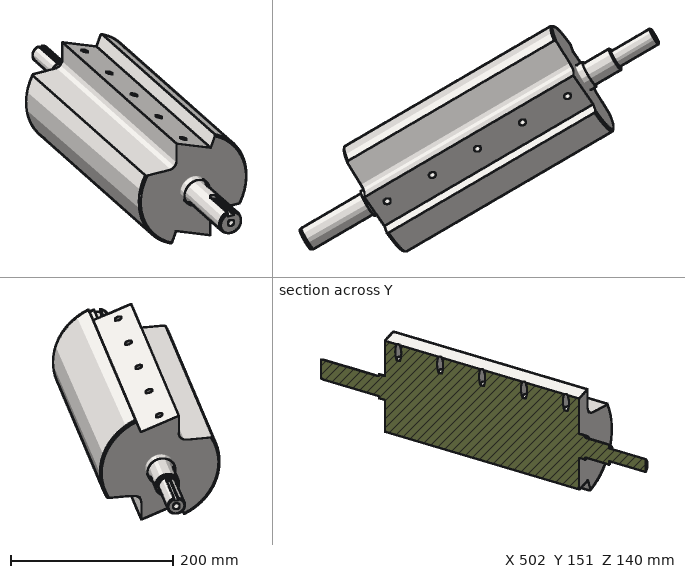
import cadquery as cq
import math

total_length = 502.0
body_start = 103.0
body_length = 300.5
body_end = body_start + body_length

body_radius = 75.5
blade_tip_y = -23.5
body_height = 140.0
blade_tip_z = body_height / 2
seat_root_y = 24.0
seat_root_z = 52.0
back_lip_y = 30.5
shelf_z = 35.5
gullet_radius = 10.0
rim_chamfer = 2.0
cutter_margin = 5.0

collar_diameter = 35.0
stub_collar_length = 9.0
drive_collar_length = 9.5
journal_diameter = 30.0
stub_diameter = 22.0
stub_length = 56.0
root_fillet = 1.0
edge_chamfer = 1.0
drive_chamfer_length = 3.0

stub_key_length = 51.5
stub_key_width = 5.0
stub_key_depth = 3.0
drive_key_length = 50.5
drive_key_width = 8.0
drive_key_depth = 5.0

hole_diameter = 8.5
hole_depth = 20.0
hole_count = 5
hole_pitch = 65.0
hole_y = -3.0
centre_diameter = 8.5
centre_angle = 60.0


def rim_z(y):
    """Height of the cylindrical rim at a given Y."""
    return math.sqrt(body_radius**2 - y**2)


def half_turn(shape):
    """The same shape turned half a revolution about the shaft axis."""
    return shape.rotate((0, 0, 0), (1, 0, 0), 180)


def rotor_body():
    """Rim cylinder with chamfered ends, less the two chip gullets and blade seats."""
    body = cq.Workplane("YZ", origin=(body_start, 0, 0)).circle(body_radius).extrude(body_length)
    body = body.faces("<X or >X").chamfer(rim_chamfer)

    clear = body_radius + cutter_margin
    cutter = (
        cq.Workplane("YZ", origin=(body_start, 0, 0))
        .moveTo(seat_root_y, seat_root_z)
        .lineTo(blade_tip_y, blade_tip_z)
        .lineTo(blade_tip_y, shelf_z + gullet_radius)
        .radiusArc((blade_tip_y - gullet_radius, shelf_z), gullet_radius)
        .lineTo(-clear, shelf_z)
        .lineTo(-clear, clear)
        .lineTo(back_lip_y, clear)
        .lineTo(back_lip_y, rim_z(back_lip_y))
        .close()
        .extrude(body_length)
    )
    return body.cut(cutter).cut(half_turn(cutter))


def cylinder(start, end, diameter):
    return cq.Workplane("YZ", origin=(start, 0, 0)).circle(diameter / 2).extrude(end - start)


def root_flare(face_x, direction, diameter):
    """Concave fillet ring where a cylinder meets a flat face; direction points along the cylinder."""
    radius = diameter / 2
    bend = root_fillet * (1 - math.sqrt(0.5))
    return (
        cq.Workplane("XY")
        .moveTo(face_x, 0)
        .lineTo(face_x, radius + root_fillet)
        .threePointArc(
            (face_x + direction * bend, radius + bend),
            (face_x + direction * root_fillet, radius),
        )
        .lineTo(face_x + direction * root_fillet, 0)
        .close()
        .revolve(360, (0, 0, 0), (1, 0, 0))
    )


def shaft():
    """Stepped shaft: stub, journal, collar, core, collar and drive end."""
    collar_start = body_start - stub_collar_length
    collar_end = body_end + drive_collar_length
    stub = cylinder(0, stub_length, stub_diameter).faces("<X").chamfer(edge_chamfer)
    journal = cylinder(stub_length, body_start, journal_diameter).faces("<X").chamfer(edge_chamfer)
    collars = cylinder(collar_start, collar_end, collar_diameter)
    drive = cylinder(body_end, total_length, journal_diameter)
    drive = drive.faces(">X").chamfer(drive_chamfer_length, edge_chamfer)
    stepped = stub.union(journal).union(collars).union(drive)
    for face_x, direction, diameter in (
        (body_start, -1, collar_diameter),
        (body_end, 1, collar_diameter),
        (collar_start, -1, journal_diameter),
        (collar_end, 1, journal_diameter),
    ):
        stepped = stepped.union(root_flare(face_x, direction, diameter))
    return stepped


def keyway(start, length, width, depth, diameter):
    """Square-ended slot sunk from the top of a shaft section."""
    floor_z = diameter / 2 - depth
    slot = cq.Workplane("XY").box(length, width, diameter, centered=(False, True, False))
    return slot.translate((start, 0, floor_z))


def drive_keyway():
    """Drive-end slot whose closed end is a half circle."""
    end_radius = drive_key_width / 2
    round_centre_x = total_length - drive_key_length + end_radius
    straight = keyway(
        round_centre_x,
        total_length - round_centre_x,
        drive_key_width,
        drive_key_depth,
        journal_diameter,
    )
    floor_z = journal_diameter / 2 - drive_key_depth
    round_end = cq.Workplane("XY", origin=(round_centre_x, 0, floor_z)).circle(end_radius)
    return straight.union(round_end.extrude(journal_diameter))


def seat_holes():
    """Row of blind screw holes square to the blade seat."""
    seat_slope = (blade_tip_z - seat_root_z) / (blade_tip_y - seat_root_y)
    hole_z = seat_root_z + seat_slope * (hole_y - seat_root_y)
    inward = cq.Vector(0, seat_slope, -1)
    middle_x = body_start + body_length / 2
    holes = cq.Workplane("XY")
    for index in range(hole_count):
        x = middle_x + (index - (hole_count - 1) / 2) * hole_pitch
        hole = cq.Solid.makeCylinder(hole_diameter / 2, hole_depth, cq.Vector(x, hole_y, hole_z), inward)
        holes = holes.add(hole)
    return holes.combine()


def shaft_centre(face_x, inward):
    """Conical lathe centre in a shaft end; inward is the X direction into the shaft."""
    radius = centre_diameter / 2
    depth = radius / math.tan(math.radians(centre_angle / 2))
    return cq.Solid.makeCone(radius, 0, depth, cq.Vector(face_x, 0, 0), cq.Vector(inward, 0, 0))


holes = seat_holes()
result = rotor_body().union(shaft())
result = result.cut(holes).cut(half_turn(holes))
result = result.cut(keyway(0, stub_key_length, stub_key_width, stub_key_depth, stub_diameter))
result = result.cut(drive_keyway())
result = result.cut(shaft_centre(0, 1)).cut(shaft_centre(total_length, -1))